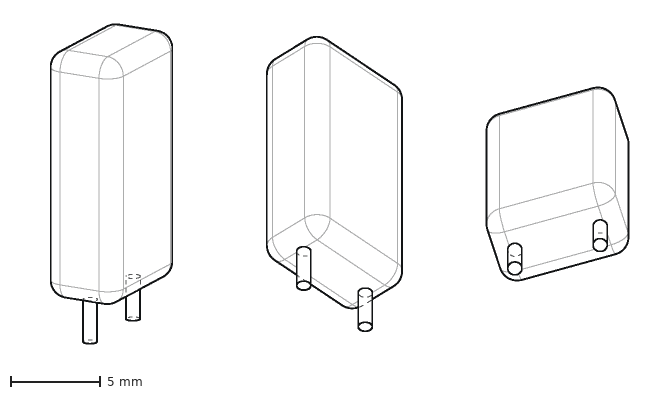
import cadquery as cq

total_height = 17.0
body_thickness = 4.5
body_width = 7.5
edge_radius = 1.0

lead_length = 2.5
lead_diameter = 0.8
lead_pitch = 5.0

body_height = total_height - lead_length


def make_body():
    """Box with every edge rounded, its underside at Z = 0."""
    box = cq.Workplane("XY").box(
        body_thickness, body_width, body_height, centered=(True, True, False)
    )
    return box.edges().fillet(edge_radius)


def make_leads():
    """Two round leads that reach up into the body past its rounded bottom edges."""
    return (
        cq.Workplane("XY")
        .workplane(offset=-lead_length)
        .pushPoints([(0, -lead_pitch / 2), (0, lead_pitch / 2)])
        .circle(lead_diameter / 2)
        .extrude(lead_length + edge_radius)
    )


result = make_body().union(make_leads())